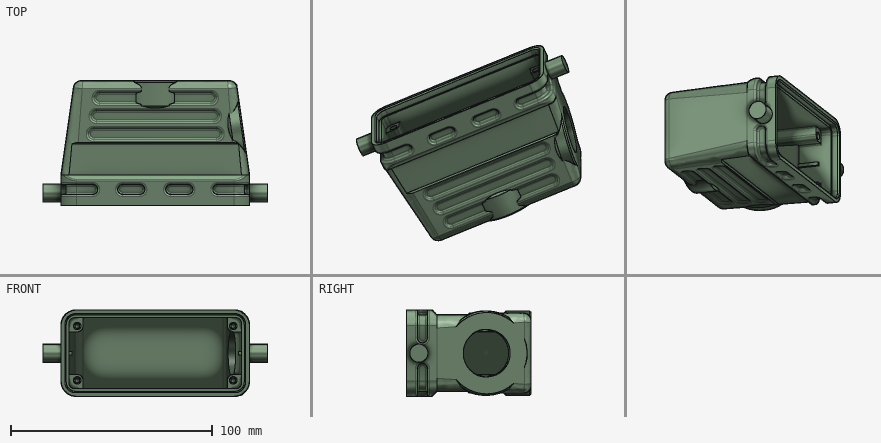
import cadquery as cq
import math


pin_span = 111.5
depth = 62.0
rim_height = 43.0

rim_width = 93.7
rim_corner = 7.8
rim_top = 12.7
rim_slope_end = 15.2
rim_edge_round = 1.0

body_width_end = 80.3
body_height = 39.7
body_corner_start = 7.4
body_corner_end = 4.2
end_round = 3.9
panel_height = 38.1
panel_end = 30.5
panel_slope = 0.8

lip_width = 88.3
lip_height = 37.9
lip_depth = 3.6
lip_corner = 4.7
lip_chamfer = 0.7
cavity_width = 85.6
cavity_height = 35.2
cavity_corner = 2.9
draft_start = 20.6
cavity_end = 55.8
left_end_x = -39.4
left_floor_round = 3.8
right_step_x = 41.0
right_end_x = 35.3
right_step_round = 0.7
right_floor_round = 1.9

column_start = 8.9
column_face_x = 35.8
column_face_z = 10.6
column_round = 2.9
column_foot_round = 0.7
screw_x = 38.7
screw_z = 13.5
screw_diameter = 2.5
screw_mouth_diameter = 3.7
screw_taper_depth = 4.5
screw_depth = 13.4
screw_tip_angle = 118.0
rib_width = 1.7
rib_reach = 1.6
rib_start = 9.9

pin_diameter = 9.0
pin_y = 6.2
pin_root = 1.7

boss_diameter = 41.9
boss_chamfer = 0.8
top_boss_start = 49.5
top_boss_foot_slope = 1.0
side_boss_y = 39.9
side_boss_thickness = 5.8
side_boss_foot_slope = 1.3
cable_hole_diameter = 23.5
cable_hole_depth = 5.8

finger_grooves = ((62.7, 53.4), (65.7, 44.5), (68.5, 35.6))
finger_half_width = 3.8
finger_floor_half_width = 1.8
finger_depth = 1.2
finger_edge_drop = finger_depth / 2

grip_y = 8.0
grip_half_width = 3.5
grip_floor_half_width = 1.5
grip_depth = 2.6
grip_edge_drop = 1.0
grip_slot_length = 15.5
grip_slot_x = 11.9
grip_corner_end_x = 27.5
grip_corner_end_z = 4.1

lean = math.atan2((rim_width - body_width_end) / 2, depth - rim_slope_end)


def plate(width, height, corner, y_start, y_end):
    """Rounded rectangle in X and Z, drawn out along Y."""
    block = cq.Workplane("XY").box(width, y_end - y_start, height)
    return block.edges("|Y").fillet(corner).translate((0, (y_start + y_end) / 2, 0))


def loft_between(start, end):
    """Loft from a (width, height, corner, y) outline to another one."""
    start_width, start_height, start_corner, start_y = start
    end_width, end_height, end_corner, end_y = end
    first = cq.Sketch().rect(start_width, start_height).vertices().fillet(start_corner)
    last = cq.Sketch().rect(end_width, end_height).vertices().fillet(end_corner)
    last = last.moved(cq.Location(cq.Vector(0, 0, start_y - end_y)))
    return cq.Workplane("XZ", origin=(0, start_y, 0)).placeSketch(first, last).loft(ruled=True)


def slab(x_range, y_range, z_range):
    """Box spanning the given (low, high) ranges."""
    (x_low, x_high), (y_low, y_high), (z_low, z_high) = x_range, y_range, z_range
    block = cq.Workplane("XY").box(x_high - x_low, y_high - y_low, z_high - z_low, centered=False)
    return block.translate((x_low, y_low, z_low))


def trim_both_faces(solid, points):
    """Cut both broad faces down to a (Y, Z) outline of the +Z side, swept along X."""
    (first_y, _), (last_y, _) = points[0], points[-1]
    outside = (
        cq.Workplane("YZ", origin=(-rim_width, 0, 0))
        .polyline([(first_y, rim_height), *points, (last_y, rim_height)])
        .close()
        .extrude(2 * rim_width)
    )
    return solid.cut(outside).cut(outside.mirror("XY"))


def rim_band():
    """Band with broad faces that slope down to the panels, over a rounded edge."""
    band = plate(rim_width, rim_height, rim_corner, 0, rim_slope_end)
    slope = [(rim_top, rim_height / 2), (rim_slope_end, panel_height / 2)]
    band = trim_both_faces(band, slope)
    for z in (-rim_height / 2, rim_height / 2):
        band = band.edges(cq.NearestToPointSelector((0, rim_top, z))).fillet(rim_edge_round)
    return band


def tapered_body():
    """Body that narrows toward its rounded closed end."""
    body = loft_between(
        (rim_width, body_height, body_corner_start, rim_slope_end),
        (body_width_end, body_height, body_corner_end, depth),
    )
    body = body.faces(">Y").edges().fillet(end_round)
    panel = [
        (0, panel_height / 2),
        (panel_end, panel_height / 2),
        (panel_end + panel_slope, body_height / 2),
    ]
    return trim_both_faces(body, panel)


def boss(base_height, height, foot_slope):
    """Round boss about +Z, with a conical foot below the base and a chamfered top."""
    radius = boss_diameter / 2
    return (
        cq.Workplane("XZ")
        .moveTo(0, base_height - radius * foot_slope)
        .lineTo(radius, base_height)
        .lineTo(radius, height - boss_chamfer)
        .lineTo(radius - boss_chamfer, height)
        .lineTo(0, height)
        .close()
        .revolve(360, (0, 0, 0), (0, 1, 0))
    )


def top_boss():
    upright = boss(top_boss_start - depth, 0, top_boss_foot_slope)
    return upright.rotate((0, 0, 0), (1, 0, 0), -90).translate((0, depth, 0))


def on_side_face(solid):
    """Move a solid built about +Z so that its axis is square to the right end face."""
    face_x = rim_width / 2 - (side_boss_y - rim_slope_end) * math.tan(lean)
    turned = solid.rotate((0, 0, 0), (0, 1, 0), 90).rotate((0, 0, 0), (0, 0, 1), math.degrees(lean))
    return turned.translate((face_x, side_boss_y, 0))


def side_boss():
    return on_side_face(boss(-side_boss_thickness, 0, side_boss_foot_slope))


def four_ways(solid):
    """The solid with its mirror images in X and Z."""
    pair = solid.union(solid.mirror("YZ"))
    return pair.union(pair.mirror("XY"))


def half_section(half_width, floor_half_width, groove_depth, edge_drop):
    """Half of a groove section on the YZ plane: mouth at Z = 0, rounded mouth and floor edges."""
    wall = (half_width + floor_half_width) / 2
    edge_run = half_width - wall
    edge_radius = (edge_run**2 + edge_drop**2) / (2 * edge_drop)
    section = (
        cq.Workplane("YZ")
        .moveTo(0, edge_radius)
        .lineTo(half_width, edge_radius)
        .lineTo(half_width, 0)
        .radiusArc((wall, -edge_drop), -edge_radius)
    )
    if groove_depth > 2 * edge_drop:
        section = section.lineTo(wall, edge_drop - groove_depth)
    section = section.radiusArc((floor_half_width, -groove_depth), edge_radius)
    return section.lineTo(0, -groove_depth).close()


def straight_run(section, length):
    """Groove cutter along X from the origin."""
    half = half_section(*section).extrude(length)
    return half.union(half.mirror("XZ"))


def round_end(section):
    """Groove cutter for one round end, centred on the origin."""
    return half_section(*section).revolve(360, (0, 0, 0), (0, 1, 0))


def slot_groove(section, half_width, length):
    """Groove cutter with two round ends, centred on the origin and running along X."""
    run = length - 2 * half_width
    end = round_end(section)
    slot = straight_run(section, run).union(end).union(end.translate((run, 0, 0)))
    return slot.translate((-run / 2, 0, 0))


def finger_groove_cutters():
    section = (finger_half_width, finger_floor_half_width, finger_depth, finger_edge_drop)
    cutters = cq.Workplane("XY")
    for length, y in finger_grooves:
        groove = slot_groove(section, finger_half_width, length).translate((0, y, body_height / 2))
        cutters = cutters.union(groove).union(groove.mirror("XY"))
    return cutters


def grip_groove_cutters():
    section = (grip_half_width, grip_floor_half_width, grip_depth, grip_edge_drop)
    top_z = rim_height / 2
    side_x = rim_width / 2
    bend_x = side_x - rim_corner
    bend_z = top_z - rim_corner

    slot = slot_groove(section, grip_half_width, grip_slot_length)
    slot = slot.translate((grip_slot_x, grip_y, top_z))

    end = round_end(section)
    first_run = bend_x - grip_corner_end_x - grip_half_width
    first = straight_run(section, first_run).union(end).translate((bend_x - first_run, grip_y, top_z))
    half_bend = half_section(*section).revolve(90, (0, -rim_corner, 0), (1, -rim_corner, 0))
    bend = half_bend.union(half_bend.mirror("XZ")).translate((bend_x, grip_y, top_z))
    last_run = bend_z - grip_corner_end_z - grip_half_width
    last = straight_run(section, last_run).union(end.translate((last_run, 0, 0)))
    last = last.rotate((0, 0, 0), (0, 1, 0), 90).translate((side_x, grip_y, bend_z))

    return four_ways(slot.union(first).union(bend).union(last))


def screw_columns():
    """Four columns with a rounded inner corner and flared feet where they meet the walls."""
    wall_x = cavity_width / 2
    wall_z = cavity_height / 2
    column = (
        cq.Workplane("XZ", origin=(0, column_start, 0))
        .moveTo(wall_x, column_face_z - column_foot_round)
        .radiusArc((wall_x - column_foot_round, column_face_z), -column_foot_round)
        .lineTo(column_face_x + column_round, column_face_z)
        .radiusArc((column_face_x, column_face_z + column_round), column_round)
        .lineTo(column_face_x, wall_z - column_foot_round)
        .radiusArc((column_face_x - column_foot_round, wall_z), -column_foot_round)
        .lineTo(column_face_x - column_foot_round, rim_height / 2)
        .lineTo(rim_width / 2, rim_height / 2)
        .lineTo(rim_width / 2, column_face_z - column_foot_round)
        .close()
        .extrude(column_start - depth)
    )
    tip = screw_diameter / 2 / math.tan(math.radians(screw_tip_angle / 2))
    hole = (
        cq.Workplane("XY")
        .moveTo(0, 0)
        .lineTo(screw_mouth_diameter / 2, 0)
        .lineTo(screw_diameter / 2, screw_taper_depth)
        .lineTo(screw_diameter / 2, screw_depth)
        .lineTo(0, screw_depth + tip)
        .close()
        .revolve(360, (0, 0, 0), (0, 1, 0))
        .translate((screw_x, column_start, screw_z))
    )
    return four_ways(column.cut(hole))


def end_ribs():
    """Two narrow ribs along Y, one in the middle of each end wall."""
    rib_face_x = cavity_width / 2 - rib_reach
    rib = slab((rib_face_x, rim_width / 2), (rib_start, draft_start), (-rib_width / 2, rib_width / 2))
    return rib.union(rib.mirror("YZ"))


def cavity():
    """Inner space: chamfered mouth, shallow lip and a room with drafted end walls."""
    lip = plate(lip_width, lip_height, lip_corner, 0, lip_depth)
    mouth = loft_between(
        (lip_width + 2 * lip_chamfer, lip_height + 2 * lip_chamfer, lip_corner + lip_chamfer, 0),
        (lip_width, lip_height, lip_corner, lip_chamfer),
    )
    half_width = cavity_width / 2
    room = (
        cq.Workplane("XY")
        .moveTo(-half_width, 0)
        .lineTo(half_width, 0)
        .lineTo(half_width, draft_start)
        .lineTo(right_step_x, draft_start)
        .lineTo(right_end_x, cavity_end)
        .lineTo(left_end_x, cavity_end)
        .lineTo(-half_width, draft_start)
        .close()
        .extrude(cavity_height / 2, both=True)
    )
    rounded_edges = (
        (right_step_x, draft_start, right_step_round),
        (right_end_x, cavity_end, right_floor_round),
        (left_end_x, cavity_end, left_floor_round),
    )
    for x, y, radius in rounded_edges:
        room = room.edges(cq.NearestToPointSelector((x, y, 0))).fillet(radius)
    room = room.intersect(plate(cavity_width, cavity_height, cavity_corner, 0, depth))
    return room.cut(screw_columns()).cut(end_ribs()).union(lip).union(mouth)


def locking_pins():
    root_x = rim_width / 2 - pin_root
    pin = (
        cq.Workplane("YZ", origin=(root_x, pin_y, 0))
        .circle(pin_diameter / 2)
        .extrude(pin_span / 2 - root_x)
    )
    return pin.union(pin.mirror("YZ"))


def cable_hole():
    bore = cq.Workplane("XY").circle(cable_hole_diameter / 2).extrude(-cable_hole_depth)
    return on_side_face(bore)


hood = rim_band().union(tapered_body())
hood = hood.cut(finger_groove_cutters())
hood = hood.union(top_boss()).union(side_boss())
hood = hood.cut(grip_groove_cutters())
hood = hood.cut(cavity()).cut(cable_hole())
result = hood.union(locking_pins())